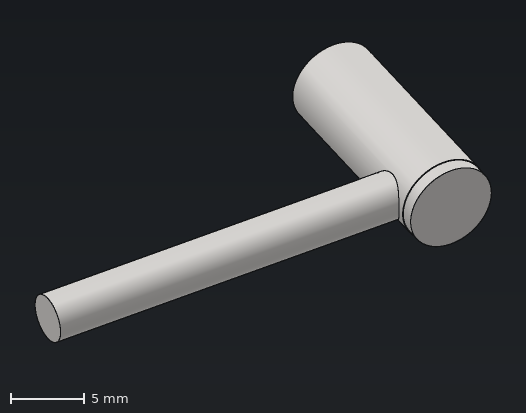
import cadquery as cq

body_diameter = 6.5
body_length = 15.0
collar_diameter = 6.4
collar_length = 1.0
handle_diameter = 3.5
handle_reach = 30.0
handle_offset = 12.75


def make_head():
    """Horizontal cylinder along X, ending in a slightly narrower collar."""
    body = cq.Workplane("YZ").circle(body_diameter / 2).extrude(body_length)
    return body.faces(">X").workplane().circle(collar_diameter / 2).extrude(collar_length)


def make_handle():
    """Round bar running from the head axis toward -Y."""
    return (
        cq.Workplane("XZ")
        .center(handle_offset, 0)
        .circle(handle_diameter / 2)
        .extrude(handle_reach)
    )


result = make_head().union(make_handle())